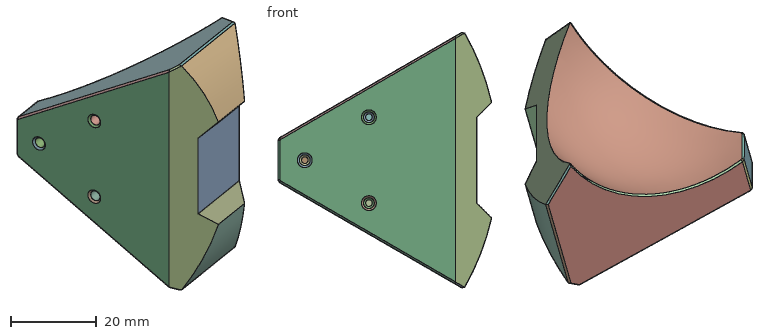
import cadquery as cq
import math

half_angle = math.radians(30)
blunt_width = 10.0
sector_radius = 60.0
half_height = sector_radius * math.sin(half_angle)
apex_x = -blunt_width / 2 / math.tan(half_angle)
right_end = apex_x + sector_radius

front_width = 41.35
back_bevel_sum = 70.25
blank_depth = back_bevel_sum

notch_floor_x = apex_x + 55.0
notch_floor_half_width = 10.0

cup_radius = 38.0
cup_x = 10.25
cup_y = 46.25

edge_chamfer = 0.5

hole_diameter = 2.5
hole_depth = 5.0
single_hole_x = apex_x + 14.95
pair_hole_x = apex_x + 29.85
pair_hole_z = 10.0


def sector_blank():
    corner_x = apex_x + sector_radius * math.cos(half_angle)
    return (
        cq.Workplane("XZ")
        .moveTo(0, -blunt_width / 2)
        .lineTo(corner_x, -half_height)
        .threePointArc((right_end, 0), (corner_x, half_height))
        .lineTo(0, blunt_width / 2)
        .close()
        .extrude(-blank_depth)
    )


def bevelled_profile():
    return (
        cq.Workplane("XY")
        .polyline([
            (0, 0),
            (front_width, 0),
            (right_end, right_end - front_width),
            (right_end, back_bevel_sum - right_end),
            (0, back_bevel_sum),
        ])
        .close()
        .extrude(half_height, both=True)
    )


def cup():
    return cq.Workplane("XY").sphere(cup_radius).translate((cup_x, cup_y, 0))


def chamfer_side_edges(body):
    """Chamfer every edge around the left face and the two flanks."""
    side_faces = cq.selectors.ParallelDirSelector(cq.Vector(1, 0, 0))
    for side in (-1, 1):
        flank_normal = cq.Vector(-math.sin(half_angle), 0, side * math.cos(half_angle))
        side_faces = side_faces + cq.selectors.ParallelDirSelector(flank_normal)
    return body.faces(side_faces).edges().chamfer(edge_chamfer)


def notch():
    depth = right_end - notch_floor_x
    mouth_half_width = notch_floor_half_width + depth
    return (
        cq.Workplane("XZ")
        .polyline([
            (notch_floor_x, -notch_floor_half_width),
            (right_end, -mouth_half_width),
            (right_end, mouth_half_width),
            (notch_floor_x, notch_floor_half_width),
        ])
        .close()
        .extrude(-blank_depth)
    )


def hole(x, z):
    """Blind hole from the front face with a chamfered mouth and a chamfered floor."""
    radius = hole_diameter / 2
    mouth_radius = radius + edge_chamfer
    floor_radius = radius - edge_chamfer
    return (
        cq.Workplane("XY")
        .polyline([
            (0, 0),
            (mouth_radius, 0),
            (radius, edge_chamfer),
            (radius, hole_depth - edge_chamfer),
            (floor_radius, hole_depth),
            (0, hole_depth),
        ])
        .close()
        .revolve(360, (0, 0), (0, 1))
        .translate((x, 0, z))
    )


body = sector_blank().intersect(bevelled_profile()).cut(cup())
result = chamfer_side_edges(body).cut(notch())

hole_positions = [
    (single_hole_x, 0),
    (pair_hole_x, pair_hole_z),
    (pair_hole_x, -pair_hole_z),
]
for hole_x, hole_z in hole_positions:
    result = result.cut(hole(hole_x, hole_z))